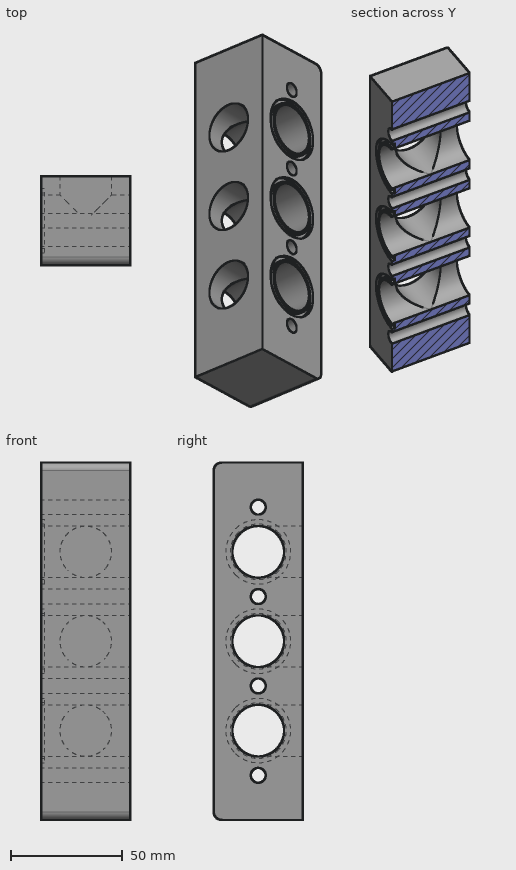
import cadquery as cq

width = 40.0
depth = 40.0
height = 160.0
edge_radius = 3.7

pitch = height / 4
bore_diameter = 23.0
cross_hole_depth = depth / 2
groove_outer_diameter = 29.0
groove_inner_diameter = 25.0
groove_depth = 1.6
screw_hole_diameter = 6.5

bore_heights = [-pitch, 0, pitch]
screw_heights = [-1.5 * pitch, -0.5 * pitch, 0.5 * pitch, 1.5 * pitch]


def cylinder_along_x(diameter, start, length, z):
    """Cylinder on the Y = 0 centre plane, running in +X from start."""
    return cq.Workplane("YZ", origin=(start, 0, z)).circle(diameter / 2).extrude(length)


def cross_hole(z):
    """Cylinder in the middle of the width, running in -Y from the +Y face."""
    back_face = cq.Workplane("XZ", origin=(width / 2, depth / 2, z))
    return back_face.circle(bore_diameter / 2).extrude(cross_hole_depth)


block = cq.Workplane("XY").box(width, depth, height, centered=(False, True, True))
result = block.faces("<Y").edges("|X").fillet(edge_radius)

for z in bore_heights:
    result = result.cut(cylinder_along_x(bore_diameter, 0, width, z))

    result = result.cut(cross_hole(z))

    groove = cylinder_along_x(groove_outer_diameter, 0, groove_depth, z)
    groove_core = cylinder_along_x(groove_inner_diameter, 0, groove_depth, z)
    result = result.cut(groove.cut(groove_core))

for z in screw_heights:
    result = result.cut(cylinder_along_x(screw_hole_diameter, 0, width, z))